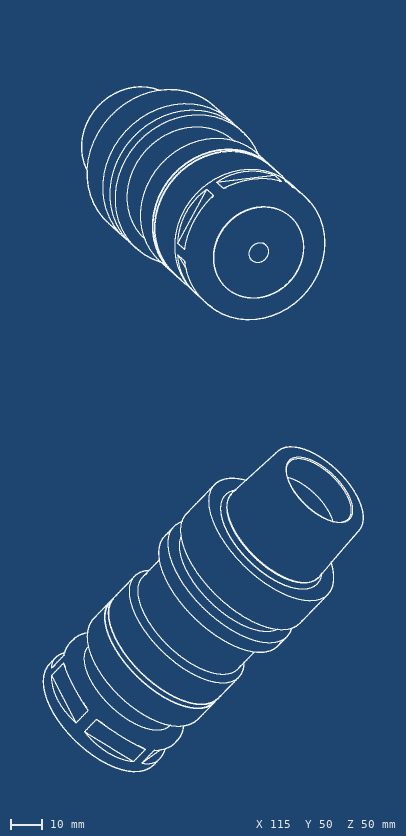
import cadquery as cq
import math

total_length = 115.0

taper_small_diameter = 36.0
taper_nose_fillet = 0.8
taper_end = 23.0
taper_large_diameter = 38.4
relief_start = 23.5
relief_diameter = 38.0
undercut_radius = 0.7
undercut_exit_angle = 60

flange_diameter = 50.0
flange_start = 25.0
flange_end = 51.0
groove_start = 39.6
groove_floor_start = 40.9
groove_floor_end = 44.7
groove_end = 46.1
groove_diameter = 43.0

body_diameter = 42.0
collar_diameter = 46.0
collar_start = 66.9
collar_chamfer_length = 1.8
collar_end = 92.0
collar_fillet = 2.2
collar_ring_start = 79.7
collar_ring_end = 81.6
collar_ring_depth = 0.2
neck_diameter = 36.0

nut_diameter = 46.0
nut_start = 98.7
nut_end = 114.5
nut_back_fillet = 2.1
nut_front_fillet = 1.7
end_ring_diameter = 30.4
pocket_count = 6
pocket_floor_radius = 20.8
pocket_start = 102.9
pocket_end = 109.1
pocket_wall_slope = 0.35
pocket_cutter_clearance = 1.2

socket_diameter = 26.0
socket_mouth_diameter = 26.7
lip_depth = 9.3
socket_recess_diameter = 28.0
socket_depth = 18.4
counterbore_diameter = 16.2
counterbore_end = 28.8
through_diameter = 6.5


def arc_point(center_x, center_r, radius, degrees):
    """Point on a circle in the X-radius half plane."""
    angle = math.radians(degrees)
    return (center_x + radius * math.cos(angle), center_r + radius * math.sin(angle))


def outer_body():
    """Revolve the complete outer profile into a solid."""
    taper_r = taper_small_diameter / 2
    relief_r = relief_diameter / 2
    flange_r = flange_diameter / 2
    groove_r = groove_diameter / 2
    body_r = body_diameter / 2
    collar_r = collar_diameter / 2
    ring_r = collar_r - collar_ring_depth
    neck_r = neck_diameter / 2
    nut_r = nut_diameter / 2

    undercut_x = flange_start - undercut_radius * math.cos(math.radians(undercut_exit_angle))
    undercut_r = relief_r + undercut_radius
    nose_x = taper_nose_fillet
    nose_r = taper_r - taper_nose_fillet
    collar_fillet_x = collar_end - collar_fillet
    collar_fillet_r = collar_r - collar_fillet
    nut_back_x = nut_start + nut_back_fillet
    nut_back_r = nut_r - nut_back_fillet
    nut_front_x = nut_end - nut_front_fillet
    nut_front_r = nut_r - nut_front_fillet

    profile = (
        cq.Workplane("XY")
        .lineTo(0, nose_r)
        .threePointArc(arc_point(nose_x, nose_r, taper_nose_fillet, 135), (nose_x, taper_r))
        .lineTo(taper_end, taper_large_diameter / 2)
        .lineTo(relief_start, relief_r)
        .lineTo(undercut_x, relief_r)
        .threePointArc(
            arc_point(undercut_x, undercut_r, undercut_radius, 0),
            arc_point(undercut_x, undercut_r, undercut_radius, undercut_exit_angle),
        )
        .lineTo(flange_start, flange_r)
        .lineTo(groove_start, flange_r)
        .lineTo(groove_floor_start, groove_r)
        .lineTo(groove_floor_end, groove_r)
        .lineTo(groove_end, flange_r)
        .lineTo(flange_end, flange_r)
        .lineTo(flange_end, body_r)
        .lineTo(collar_start, body_r)
        .lineTo(collar_start + collar_chamfer_length, collar_r)
        .lineTo(collar_ring_start, collar_r)
        .lineTo(collar_ring_start, ring_r)
        .lineTo(collar_ring_end, ring_r)
        .lineTo(collar_ring_end, collar_r)
        .lineTo(collar_fillet_x, collar_r)
        .threePointArc(
            arc_point(collar_fillet_x, collar_fillet_r, collar_fillet, 45),
            (collar_end, collar_fillet_r),
        )
        .lineTo(collar_end, neck_r)
        .lineTo(nut_start, neck_r)
        .lineTo(nut_start, nut_back_r)
        .threePointArc(
            arc_point(nut_back_x, nut_back_r, nut_back_fillet, 135),
            (nut_back_x, nut_r),
        )
        .lineTo(nut_front_x, nut_r)
        .threePointArc(
            arc_point(nut_front_x, nut_front_r, nut_front_fillet, 45),
            (nut_end, nut_front_r),
        )
        .lineTo(nut_end, end_ring_diameter / 2)
        .lineTo(total_length, end_ring_diameter / 2)
        .lineTo(total_length, 0)
        .close()
    )
    return profile.revolve(360, (0, 0, 0), (1, 0, 0))


def bores():
    """Stepped cutter for the lipped socket, the counterbore and the through hole."""
    socket_r = socket_diameter / 2
    mouth_r = socket_mouth_diameter / 2
    recess_r = socket_recess_diameter / 2
    counterbore_r = counterbore_diameter / 2
    through_r = through_diameter / 2
    profile = (
        cq.Workplane("XY")
        .lineTo(0, mouth_r)
        .lineTo(mouth_r - socket_r, socket_r)
        .lineTo(lip_depth, socket_r)
        .lineTo(lip_depth, recess_r)
        .lineTo(socket_depth, recess_r)
        .lineTo(socket_depth, counterbore_r)
        .lineTo(counterbore_end, counterbore_r)
        .lineTo(counterbore_end, through_r)
        .lineTo(total_length, through_r)
        .lineTo(total_length, 0)
        .close()
    )
    return profile.revolve(360, (0, 0, 0), (1, 0, 0))


def wrench_pocket():
    """Flat-bottomed trapezoidal cutter on the +Z side of the nut."""
    top = nut_diameter / 2 + pocket_cutter_clearance
    spread = pocket_wall_slope * (top - pocket_floor_radius)
    outline = [
        (pocket_start, pocket_floor_radius),
        (pocket_end, pocket_floor_radius),
        (pocket_end + spread, top),
        (pocket_start - spread, top),
    ]
    return cq.Workplane("XZ").polyline(outline).close().extrude(nut_diameter / 2, both=True)


result = outer_body().cut(bores())
for index in range(pocket_count):
    angle = index * 360 / pocket_count
    result = result.cut(wrench_pocket().rotate((0, 0, 0), (1, 0, 0), angle))